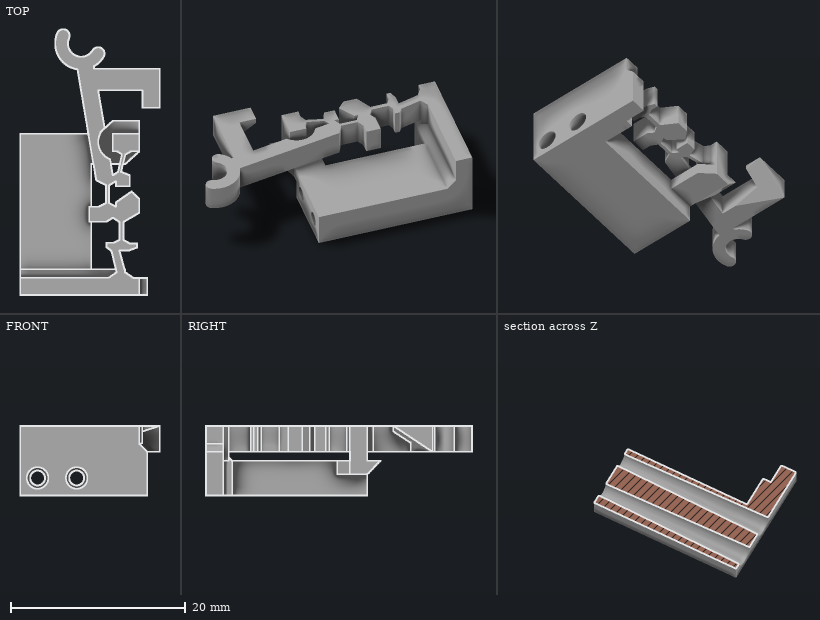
import cadquery as cq
import math

total_height = 8.0
bed_height = 4.0
layer_thickness = 3.0
layer_bottom = total_height - layer_thickness

bed_width = 8.2
bed_length = 18.55
wall_width = 14.65
wall_thickness = 2.0
wall_notch = 0.92
body_right = wall_width - wall_notch
wall_foot = 1.0
wall_foot_right = 12.1

hole_height = 2.02
hole_positions = (2.02, 6.5)
hole_mouth_diameter = 2.48
hole_end_diameter = 1.68

bracket_thickness = 1.55
bracket_front = 15.07
bracket_overhang = 1.5
bracket_corner = 1.62
post_left = 10.67
post_front = 16.53

arm_end = 27.05
arm_clearance_radius = 2.15
arm_clearance_center = (11.12, 17.6)
bar_left = 7.95
bar_right = 16.07
bar_front = 23.53
bar_back = 26.05
hook_left = 14.05
hook_tip = 21.5
hook_tip_drop = 0.65
crook_center = (7.03, 28.9)
crook_radius = 2.25
crook_thickness = 1.5
crook_start_angle = 156.5
crook_end_angle = 329.0

strut_left_corner = (11.1, 2.63)
strut_right_corner = (12.1, 2.63)

anchor_flexure_top = ((11.7, 16.17), (12.1, 16.17))
anchor_flexure_bottom = ((11.25, 14.18), (11.6, 14.18))

upper_flexure = (9.87, 10.25)
upper_flexure_ends = (10.6, 12.62)
lower_flexure = (11.4, 11.9)
lower_flexure_ends = (6.35, 8.4)


def block(x_range, y_range, z_range):
    """Box spanning the given ranges."""
    sizes = [end - start for start, end in (x_range, y_range, z_range)]
    corner = (x_range[0], y_range[0], z_range[0])
    return cq.Workplane("XY").box(*sizes, centered=False).translate(corner)


def plate(outline, bottom=layer_bottom, top=total_height):
    """Closed XY outline, extruded from bottom to top."""
    return cq.Workplane("XY").workplane(offset=bottom).polyline(outline).close().extrude(top - bottom)


def make_bed():
    return block((0, bed_width), (0, bed_length), (0, bed_height))


def make_wall():
    outline = [
        (0, 0),
        (wall_width, 0),
        (wall_width, layer_bottom),
        (body_right, layer_bottom + wall_notch),
        (body_right, total_height),
        (0, total_height),
    ]
    return cq.Workplane("XZ").polyline(outline).close().extrude(-wall_thickness)


def make_wall_foot():
    """Thicker lower part of the wall, topped by a chamfer."""
    outline = [
        (0, 0),
        (wall_thickness + wall_foot, 0),
        (wall_thickness + wall_foot, bed_height),
        (wall_thickness, bed_height + wall_foot),
        (0, bed_height + wall_foot),
    ]
    return cq.Workplane("YZ").polyline(outline).close().extrude(wall_foot_right)


def make_hole(x):
    """Cone running the full length of the bed."""
    return cq.Workplane(
        cq.Solid.makeCone(
            hole_mouth_diameter / 2,
            hole_end_diameter / 2,
            bed_length,
            pnt=cq.Vector(x, 0, hole_height),
            dir=cq.Vector(0, 1, 0),
        )
    )


def make_bracket():
    """Shelf at the top of the bed, its far end undercut by a slope."""
    back = bed_length + bracket_overhang
    bottom = bed_height - bracket_thickness
    outline = [
        (bed_width, bracket_front),
        (body_right - bracket_corner, bracket_front),
        (body_right, post_front),
        (body_right, back),
        (post_left, back),
        (post_left - bracket_corner, bed_length),
        (bed_width, bed_length),
    ]
    side_profile = [
        (bracket_front, bottom),
        (bed_length, bottom),
        (back, bed_height),
        (bracket_front, bed_height),
    ]
    undercut_shape = cq.Workplane("YZ").polyline(side_profile).close().extrude(body_right)
    return plate(outline, bottom, bed_height).intersect(undercut_shape)


def make_post():
    """Anchor post, its neck and the slanted flexure that holds the arm."""
    post = block((post_left, body_right), (post_front, bed_length), (bed_height, total_height))
    neck = plate([
        (11.12, post_front),
        anchor_flexure_top[0],
        anchor_flexure_bottom[0],
        anchor_flexure_bottom[1],
        anchor_flexure_top[1],
        (12.8, post_front),
    ])
    return post.union(neck)


def make_arm():
    arm = plate([
        (6.57, bar_back),
        (8.75, 13.2),
        (upper_flexure[0], upper_flexure_ends[1]),
        (upper_flexure[1], upper_flexure_ends[1]),
        (11.0, 13.08),
        (11.0, 12.5),
        (12.62, 12.5),
        (12.62, 13.78),
        anchor_flexure_bottom[1],
        anchor_flexure_bottom[0],
        (10.67, 13.78),
        (8.98, bar_front),
        (8.35, arm_end),
        (7.03, arm_end),
    ])
    clearance = (
        cq.Workplane("XY").workplane(offset=layer_bottom)
        .center(*arm_clearance_center).circle(arm_clearance_radius).extrude(layer_thickness)
    )
    return arm.cut(clearance)


def make_bar():
    """Hooked bar, its underside cut by one slanted plane that rises to the hook tip."""
    bar = plate([
        (bar_left, bar_front),
        (hook_left, bar_front),
        (hook_left, hook_tip),
        (bar_right, hook_tip),
        (bar_right, bar_back),
        (bar_left, bar_back),
    ])
    along_tip = cq.Vector(hook_left - bar_right, 0, -hook_tip_drop)
    along_side = cq.Vector(0, bar_back - hook_tip, -layer_thickness)
    slope = cq.Plane(
        origin=(bar_right, hook_tip, total_height),
        xDir=along_tip,
        normal=along_side.cross(along_tip),
    )
    waste_width = 2 * bar_right
    waste = cq.Workplane(slope).rect(waste_width, waste_width).extrude(-total_height)
    return bar.cut(waste)


def crook_point(radius, angle):
    x, y = crook_center
    return (x + radius * math.cos(math.radians(angle)), y + radius * math.sin(math.radians(angle)))


def make_crook():
    """Arc-shaped crook with rounded tips."""
    inner = crook_radius - crook_thickness / 2
    outer = crook_radius + crook_thickness / 2
    start, end = crook_start_angle, crook_end_angle
    middle = (start + end) / 2
    tip_turn = math.degrees(crook_thickness / 2 / crook_radius)
    return (
        cq.Workplane("XY").workplane(offset=layer_bottom)
        .moveTo(*crook_point(outer, start))
        .threePointArc(crook_point(outer, middle), crook_point(outer, end))
        .threePointArc(crook_point(crook_radius, end + tip_turn), crook_point(inner, end))
        .threePointArc(crook_point(inner, middle), crook_point(inner, start))
        .threePointArc(crook_point(crook_radius, start - tip_turn), crook_point(outer, start))
        .close().extrude(layer_thickness)
    )


def make_flexure(x_range, y_range):
    return block(x_range, y_range, (layer_bottom, total_height))


def make_middle_link():
    return plate([
        (7.98, 10.18),
        (9.05, 10.18),
        (upper_flexure[0], upper_flexure_ends[0]),
        (upper_flexure[1], upper_flexure_ends[0]),
        (11.0, 10.18),
        (11.0, 10.67),
        (12.8, 11.92),
        (body_right, 11.05),
        (body_right, 9.47),
        (lower_flexure[1], lower_flexure_ends[1]),
        (lower_flexure[0], lower_flexure_ends[1]),
        (10.67, 8.9),
        (9.93, 8.43),
        (7.98, 8.43),
    ])


def make_lower_link():
    """Small winged link and the slanted strut that joins it to the wall."""
    return plate([
        (lower_flexure[0], lower_flexure_ends[0]),
        (10.8, 6.05),
        (9.93, 6.05),
        (9.93, 5.5),
        (10.48, 5.1),
        strut_left_corner,
        strut_right_corner,
        (11.43, 5.13),
        (12.53, 5.13),
        (13.45, 5.47),
        (13.45, 5.95),
        (12.6, 5.95),
        (lower_flexure[1], lower_flexure_ends[0]),
    ])


def make_strut_foot():
    """Spreading foot of the strut, running down onto the wall chamfer."""
    outline = [
        (10.15, wall_thickness),
        strut_left_corner,
        strut_right_corner,
        (13.05, wall_thickness),
    ]
    return plate(outline, bed_height)


result = make_bed()
for piece in (
    make_wall(),
    make_wall_foot(),
    make_bracket(),
    make_post(),
    make_arm(),
    make_bar(),
    make_crook(),
    make_flexure(upper_flexure, upper_flexure_ends),
    make_middle_link(),
    make_flexure(lower_flexure, lower_flexure_ends),
    make_lower_link(),
    make_strut_foot(),
):
    result = result.union(piece)
for hole_x in hole_positions:
    result = result.cut(make_hole(hole_x))